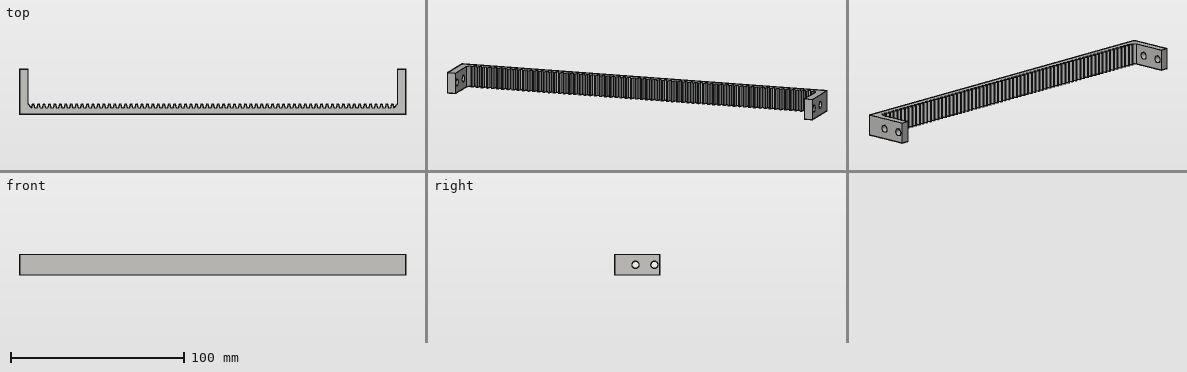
import cadquery as cq
import math

length = 223.0
depth = 26.0
height = 12.0
arm_thickness = 5.0
arm_inner_x = length / 2 - arm_thickness

tooth_count = 67
rack_span = 207.5
pitch = rack_span / (tooth_count - 1)
module = pitch / math.pi
tooth_height = 2.25 * module
flank_angle = math.radians(14.5)
tip_width = 0.83
root_width = tip_width + 2 * tooth_height * math.tan(flank_angle)
tip_line = 6.0
root_line = tip_line - tooth_height

slope_height = 2.5
slope_width = arm_inner_x - rack_span / 2 - root_width / 2

hole_diameter = 4.0
end_hole_inset = 3.1
hole_spacing = 11.0


def make_frame():
    """U-shaped outline with its outer long face on the XZ plane."""
    outline = [
        (-length / 2, 0),
        (length / 2, 0),
        (length / 2, depth),
        (arm_inner_x, depth),
        (arm_inner_x, root_line + slope_height),
        (arm_inner_x - slope_width, root_line),
        (-arm_inner_x + slope_width, root_line),
        (-arm_inner_x, root_line + slope_height),
        (-arm_inner_x, depth),
        (-length / 2, depth),
    ]
    return cq.Workplane("XY").polyline(outline).close().extrude(height)


def make_teeth():
    """Straight-flanked rack teeth, sunk into the bar so that they fuse with it."""
    sunk_line = root_line / 2
    tooth_outline = [
        (-root_width / 2, sunk_line),
        (root_width / 2, sunk_line),
        (root_width / 2, root_line),
        (tip_width / 2, tip_line),
        (-tip_width / 2, tip_line),
        (-root_width / 2, root_line),
    ]
    tooth = cq.Workplane("XY").polyline(tooth_outline).close().extrude(height).val()
    centres = [(-rack_span / 2 + i * pitch, 0) for i in range(tooth_count)]
    return cq.Workplane("XY").pushPoints(centres).eachpoint(lambda place: tooth.moved(place))


def make_arm_holes():
    """Cylinders running along X through both arms at mid height."""
    end_hole_y = depth - end_hole_inset
    centres = [(end_hole_y, height / 2), (end_hole_y - hole_spacing, height / 2)]
    return (
        cq.Workplane("YZ")
        .pushPoints(centres)
        .circle(hole_diameter / 2)
        .extrude(length, both=True)
    )


result = make_frame().union(make_teeth()).cut(make_arm_holes())